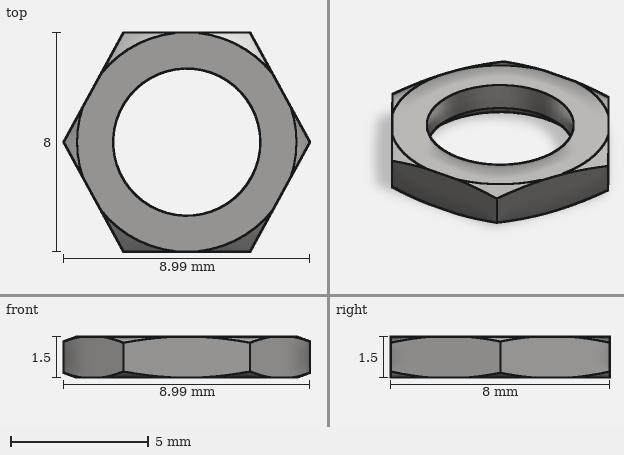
import cadquery as cq
import math

corner_span = 8.99
flat_span = 8.0
thickness = 1.5
bore_diameter = 5.36
countersink_depth = 0.5
chamfer_angle = 20.0
half_side_angle = 30.0
corner_clearance = 0.9

half_span = corner_span / 2
half_flat = flat_span / 2
half_flat_length = half_flat * math.tan(math.radians(half_side_angle))
face_radius = half_flat


def revolve_about_z(profile):
    """Full turn of a closed (radius, height) profile."""
    return cq.Workplane("XZ").polyline(profile).close().revolve(360, (0, 0), (0, 1))


def hexagon_blank():
    """Hexagonal plate, slightly shortened along X."""
    outline = [
        (half_span, 0),
        (half_flat_length, half_flat),
        (-half_flat_length, half_flat),
        (-half_span, 0),
        (-half_flat_length, -half_flat),
        (half_flat_length, -half_flat),
    ]
    return cq.Workplane("XY").polyline(outline).close().extrude(thickness)


def chamfer_envelope():
    """Disc, coned at both ends, that trims the hexagon corners."""
    clear_radius = half_span + corner_clearance
    drop = (clear_radius - face_radius) * math.tan(math.radians(chamfer_angle))
    profile = [
        (0, 0),
        (face_radius, 0),
        (clear_radius, drop),
        (clear_radius, thickness - drop),
        (face_radius, thickness),
        (0, thickness),
    ]
    return revolve_about_z(profile)


def bore():
    """Through bore that flares at 45 degrees towards the bottom face."""
    bore_radius = bore_diameter / 2
    profile = [
        (0, 0),
        (bore_radius + countersink_depth, 0),
        (bore_radius, countersink_depth),
        (bore_radius, thickness),
        (0, thickness),
    ]
    return revolve_about_z(profile)


result = hexagon_blank().intersect(chamfer_envelope()).cut(bore())